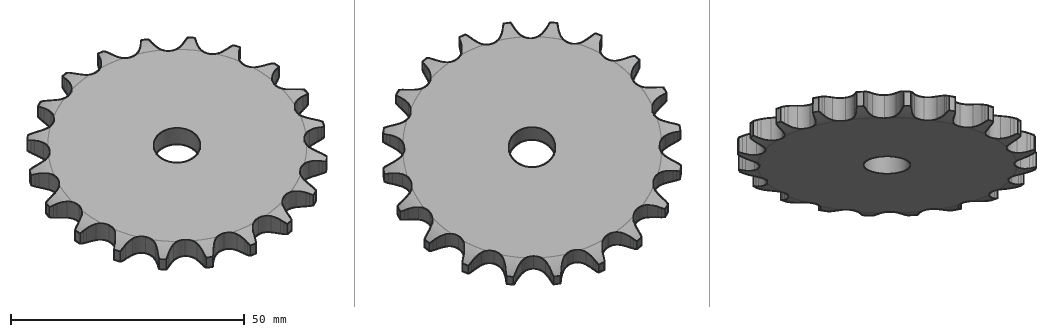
import cadquery as cq
import math

TOOTH_COUNT = 20
CHAIN_PITCH = 9.525
ROLLER_DIAMETER = 6.35
THICKNESS = 5.3
BORE_DIAMETER = 10.0
TIP_RADIUS = 32.135
FLAT_FACE_RADIUS = 27.7
TIP_WIDTH = 3.3

TOOTH_ANGLE = 2 * math.pi / TOOTH_COUNT
PITCH_RADIUS = CHAIN_PITCH / 2 / math.sin(TOOTH_ANGLE / 2)

SEATING_ALLOWANCE = 0.003
SEATING_RADIUS = (1.0005 * ROLLER_DIAMETER + SEATING_ALLOWANCE) / 2
SEATING_ANGLE = math.radians(35 + 60 / TOOTH_COUNT)
WORKING_SWEEP = math.radians(18 - 56 / TOOTH_COUNT)
WORKING_OFFSET = 0.8 * ROLLER_DIAMETER
WORKING_RADIUS = SEATING_RADIUS + WORKING_OFFSET
TOPPING_OFFSET = 1.4 * ROLLER_DIAMETER
TOPPING_SWEEP = math.radians(17 - 64 / TOOTH_COUNT)
STRAIGHT_LENGTH = TOPPING_OFFSET * math.sin(TOPPING_SWEEP) - WORKING_OFFSET * math.sin(WORKING_SWEEP)


def polar(centre, radius, angle):
    """Point at a radius and an angle (radians from +X) around a centre."""
    return centre + cq.Vector(radius * math.cos(angle), radius * math.sin(angle))


def rotate(point, angle):
    """Point turned about the sprocket axis."""
    cos_a = math.cos(angle)
    sin_a = math.sin(angle)
    return cq.Vector(point.x * cos_a - point.y * sin_a, point.x * sin_a + point.y * cos_a)


def mirror(point):
    """Matching point on the opposite flank of the gap."""
    return cq.Vector(-point.x, point.y)


def arc_middle(centre, radius, start, end):
    """Point on a short arc, halfway between its ends."""
    return centre + ((start + end) / 2 - centre).normalized() * radius


def right_flank():
    """Flank points of the gap centred on +Y, from the gap bottom out to the tooth tip."""
    axis = cq.Vector(0, 0)
    roller_centre = cq.Vector(0, PITCH_RADIUS)
    working_centre = polar(roller_centre, WORKING_OFFSET, math.pi - SEATING_ANGLE)
    topping_centre = polar(roller_centre, TOPPING_OFFSET, -TOOTH_ANGLE / 2)

    bottom = polar(roller_centre, SEATING_RADIUS, -math.pi / 2)
    seating_end = polar(roller_centre, SEATING_RADIUS, -SEATING_ANGLE)
    working_end_angle = WORKING_SWEEP - SEATING_ANGLE
    working_end = polar(working_centre, WORKING_RADIUS, working_end_angle)
    straight_end = polar(working_end, STRAIGHT_LENGTH, working_end_angle + math.pi / 2)

    topping_radius = (straight_end - topping_centre).Length
    reach = topping_centre.Length
    cos_crossing = (TIP_RADIUS**2 + reach**2 - topping_radius**2) / (2 * TIP_RADIUS * reach)
    topping_direction = math.atan2(topping_centre.y, topping_centre.x)
    tip = polar(axis, TIP_RADIUS, topping_direction + math.acos(cos_crossing))

    return {
        "bottom": bottom,
        "seating_middle": arc_middle(roller_centre, SEATING_RADIUS, bottom, seating_end),
        "seating_end": seating_end,
        "working_middle": arc_middle(working_centre, WORKING_RADIUS, seating_end, working_end),
        "working_end": working_end,
        "straight_end": straight_end,
        "topping_middle": arc_middle(topping_centre, topping_radius, straight_end, tip),
        "tip": tip,
    }


def toothed_plate():
    """Plate of full thickness with the tooth outline, centred on Z = 0."""
    flank = right_flank()
    tip_middle = rotate(cq.Vector(0, TIP_RADIUS), -TOOTH_ANGLE / 2)
    next_tip = rotate(mirror(flank["tip"]), -TOOTH_ANGLE)

    outline = cq.Workplane("XY", origin=(0, 0, -THICKNESS / 2))
    outline = outline.moveTo(-flank["tip"].x, flank["tip"].y)
    for tooth in range(TOOTH_COUNT):
        turn = -tooth * TOOTH_ANGLE
        right = {name: rotate(point, turn).toTuple()[:2] for name, point in flank.items()}
        left = {name: rotate(mirror(point), turn).toTuple()[:2] for name, point in flank.items()}
        outline = (
            outline
            .threePointArc(left["topping_middle"], left["straight_end"])
            .lineTo(*left["working_end"])
            .threePointArc(left["working_middle"], left["seating_end"])
            .threePointArc(left["seating_middle"], left["bottom"])
            .threePointArc(right["seating_middle"], right["seating_end"])
            .threePointArc(right["working_middle"], right["working_end"])
            .lineTo(*right["straight_end"])
            .threePointArc(right["topping_middle"], right["tip"])
            .threePointArc(rotate(tip_middle, turn).toTuple()[:2], rotate(next_tip, turn).toTuple()[:2])
        )
    return outline.close().extrude(THICKNESS, clean=False)


def rounded_disc():
    """Bored disc whose faces curve tangentially down to the tip width at the rim."""
    half_thickness = THICKNESS / 2
    half_tip = TIP_WIDTH / 2
    run = TIP_RADIUS - FLAT_FACE_RADIUS
    drop = half_thickness - half_tip
    side_radius = (run**2 + drop**2) / (2 * drop)
    half_sweep = math.asin(run / side_radius) / 2
    middle_r = FLAT_FACE_RADIUS + side_radius * math.sin(half_sweep)
    middle_z = half_thickness - side_radius * (1 - math.cos(half_sweep))
    bore_radius = BORE_DIAMETER / 2

    section = (
        cq.Workplane("XZ")
        .moveTo(bore_radius, -half_thickness)
        .lineTo(FLAT_FACE_RADIUS, -half_thickness)
        .threePointArc((middle_r, -middle_z), (TIP_RADIUS, -half_tip))
        .lineTo(TIP_RADIUS, half_tip)
        .threePointArc((middle_r, middle_z), (FLAT_FACE_RADIUS, half_thickness))
        .lineTo(bore_radius, half_thickness)
        .close()
    )
    return section.revolve(360, (0, 0, 0), (0, 1, 0))


result = toothed_plate().intersect(rounded_disc(), clean=False)